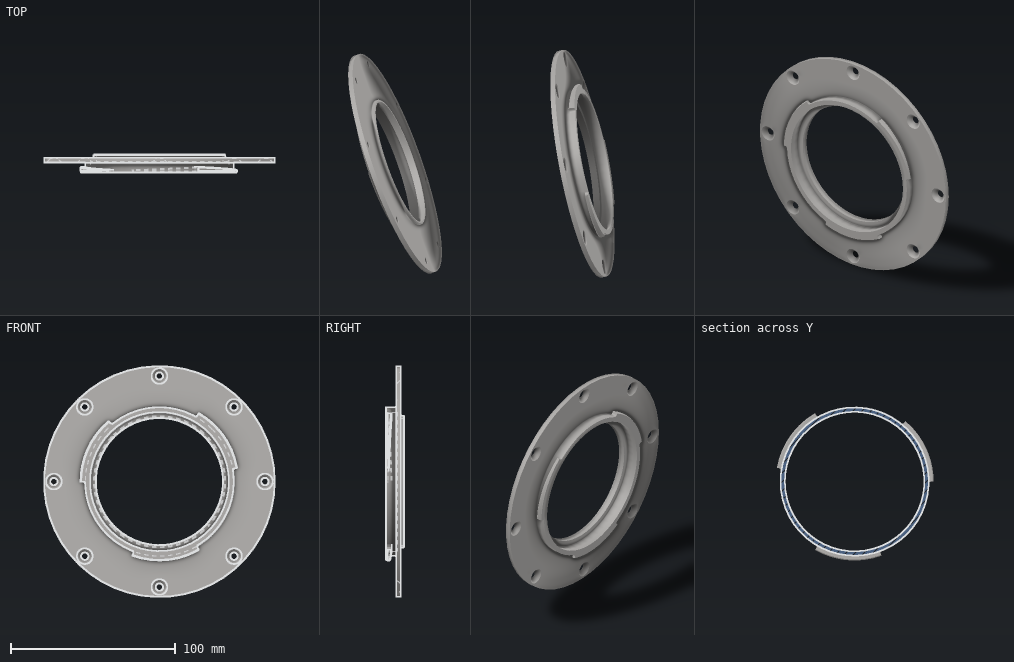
import cadquery as cq
import math

flange_diameter = 140
flange_thickness = 3.0

collar_radius = 45.1
collar_height = 6.2
spigot_radius = 40.0
spigot_height = 2.0
spigot_chamfer = 0.5

bore_radius = 38.5
counterbore_radius = 42.1
counterbore_depth = 7.0

corner_fillet = 0.35

hole_count = 8
hole_circle_radius = 64.0
hole_diameter = 4.3
countersink_diameter = 9.5
countersink_angle = 90

lug_count = 3
lug_radius = 47.9
lug_start_angle = 10
lug_span = 50
lug_thin_end = 1.8
lug_thick_end = 3.6
lug_front_chamfer_axial = 1.1
lug_front_chamfer_radial = 0.4
lug_back_chamfer = 0.5
lug_root_fillet = 1.4
lug_overlap = 1.4

front_y = -collar_height
back_y = flange_thickness + spigot_height


def make_body():
    """Flange, collar and spigot with the stepped bore, as one revolved section."""
    step_y = front_y + counterbore_depth
    flange_radius = flange_diameter / 2
    return (
        cq.Workplane("XY")
        .moveTo(bore_radius, back_y)
        .lineTo(spigot_radius - spigot_chamfer, back_y)
        .lineTo(spigot_radius, back_y - spigot_chamfer)
        .lineTo(spigot_radius, flange_thickness + corner_fillet)
        .radiusArc((spigot_radius + corner_fillet, flange_thickness), -corner_fillet)
        .lineTo(flange_radius, flange_thickness)
        .lineTo(flange_radius, 0)
        .lineTo(collar_radius + corner_fillet, 0)
        .radiusArc((collar_radius, -corner_fillet), -corner_fillet)
        .lineTo(collar_radius, front_y)
        .lineTo(counterbore_radius, front_y)
        .lineTo(counterbore_radius, step_y - corner_fillet)
        .radiusArc((counterbore_radius - corner_fillet, step_y), -corner_fillet)
        .lineTo(bore_radius, step_y)
        .close()
        .revolve(360, (0, 0, 0), (0, 1, 0))
    )


def make_lug():
    """One lug centred on the +X axis, its thick end towards +Z."""
    half_span = math.radians(lug_span / 2)
    root_radius = collar_radius - lug_overlap

    def polar(radius, angle):
        return (radius * math.cos(angle), radius * math.sin(angle))

    blank = (
        cq.Workplane("XZ", origin=(0, front_y, 0))
        .moveTo(*polar(root_radius, -half_span))
        .lineTo(*polar(lug_radius, -half_span))
        .threePointArc((lug_radius, 0), polar(lug_radius, half_span))
        .lineTo(*polar(root_radius, half_span))
        .threePointArc((root_radius, 0), polar(root_radius, -half_span))
        .close()
        .extrude(-collar_height)
    )

    half_width = lug_radius * math.sin(half_span)
    ramp = (
        cq.Workplane("YZ")
        .polyline([
            (front_y, -half_width),
            (front_y + lug_thin_end, -half_width),
            (front_y + lug_thick_end, half_width),
            (front_y, half_width),
        ])
        .close()
        .extrude(lug_radius)
    )
    lug = blank.intersect(ramp)

    outer_point = (lug_radius, front_y + lug_thin_end / 2, 0)
    outer_face = lug.faces(cq.selectors.NearestToPointSelector(outer_point))
    lug = outer_face.edges(">Y").chamfer(lug_back_chamfer)

    envelope = (
        cq.Workplane("XY")
        .polyline([
            (0, front_y),
            (lug_radius - lug_front_chamfer_radial, front_y),
            (lug_radius, front_y + lug_front_chamfer_axial),
            (lug_radius, 0),
            (0, 0),
        ])
        .close()
        .revolve(360, (0, 0, 0), (0, 1, 0))
    )
    return lug.intersect(envelope)


def add_lugs(body):
    lug = make_lug()
    for index in range(lug_count):
        angle = lug_start_angle + lug_span / 2 + index * 360 / lug_count
        body = body.union(lug.rotate((0, 0, 0), (0, 1, 0), -angle))
    return body


def fillet_lug_roots(body):
    """Round the inside corners where the lug ends meet the collar."""
    for index in range(lug_count):
        for end in (0, lug_span):
            angle = math.radians(lug_start_angle + end + index * 360 / lug_count)
            corner = (
                collar_radius * math.cos(angle),
                front_y + lug_thin_end / 2,
                collar_radius * math.sin(angle),
            )
            root = body.edges("|Y").edges(cq.selectors.NearestToPointSelector(corner))
            body = root.fillet(lug_root_fillet)
    return body


def drill_holes(body):
    return (
        body.copyWorkplane(cq.Workplane("XZ"))
        .polarArray(hole_circle_radius, 0, 360, hole_count)
        .cskHole(hole_diameter, countersink_diameter, countersink_angle)
    )


result = drill_holes(fillet_lug_roots(add_lugs(make_body())))